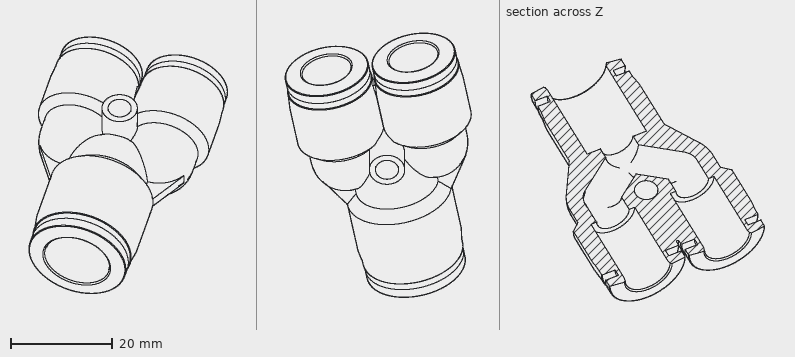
import cadquery as cq
import math

LENGTH = 50.8
OUTLET_OFFSET = 8.75
EDGE_CHAMFER = 0.15
LEAD_IN_DEPTH = 0.95
PASSAGE_RADIUS = 3.55

INLET = {
    "face_radius": 6.95,
    "lead_in_radius": 6.65,
    "socket_radius": 6.5,
    "collar_radius": 9.95,
    "neck_radius": 7.3,
    "ring_radius": 10.1,
    "body_radius": 21.0 / 2,
    "base_radius": 8.35,
    "rim": 0.35,
    "collar_end": 2.4,
    "neck_end": 3.75,
    "ring_end": 5.2,
    "taper_end": 7.75,
    "body_end": 18.75,
    "shoulder_end": 21.0,
    "base_end": 22.95,
}
OUTLET = {
    "face_radius": 5.25,
    "lead_in_radius": 4.95,
    "socket_radius": 4.8,
    "collar_radius": 8.4,
    "neck_radius": 5.6,
    "ring_radius": 8.55,
    "body_radius": 17.55 / 2,
    "base_radius": 7.0,
    "rim": 0.35,
    "collar_end": 2.2,
    "neck_end": 3.55,
    "ring_end": 4.7,
    "taper_end": 7.4,
    "body_end": 15.9,
    "shoulder_end": 17.55,
    "base_end": 21.15,
}

INLET_CENTER_Y = INLET["base_end"]
OUTLET_CENTER_Y = LENGTH - OUTLET["base_end"]

WEB_THICKNESS = 2.2

PIN_Y = 32.0
PIN_RADIUS = 3.5
PIN_HOLE_RADIUS = 2.3
PIN_HEIGHT = 2 * INLET["body_radius"]


def revolve_about_y(points):
    return cq.Workplane("XY").polyline(points).close().revolve(360, (0, 0, 0), (0, 1, 0))


def sphere_at(x, y, radius):
    return cq.Workplane("XY").sphere(radius).translate((x, y, 0))


def port_body(port):
    """Solid port along +Y with its open end at Y = 0 and a domed inner end."""
    chamfer = EDGE_CHAMFER
    outline = [
        (0, 0),
        (port["face_radius"], 0),
        (port["collar_radius"] - chamfer, port["rim"]),
        (port["collar_radius"], port["rim"] + chamfer),
        (port["collar_radius"], port["collar_end"]),
        (port["neck_radius"], port["collar_end"]),
        (port["neck_radius"], port["neck_end"]),
        (port["ring_radius"] - chamfer, port["neck_end"]),
        (port["ring_radius"], port["neck_end"] + chamfer),
        (port["ring_radius"], port["ring_end"]),
        (port["body_radius"], port["taper_end"]),
        (port["body_radius"], port["body_end"]),
        (port["base_radius"], port["shoulder_end"]),
        (port["base_radius"], port["base_end"]),
        (0, port["base_end"]),
    ]
    return revolve_about_y(outline).union(sphere_at(0, port["base_end"], port["base_radius"]))


def port_cavity(port):
    """Tube socket with a chamfered, tapered mouth, and the passage to the dome center."""
    mouth_chamfer = port["face_radius"] - port["lead_in_radius"]
    outline = [
        (0, 0),
        (port["face_radius"], 0),
        (port["lead_in_radius"], mouth_chamfer),
        (port["socket_radius"], LEAD_IN_DEPTH),
        (port["socket_radius"], port["body_end"]),
        (PASSAGE_RADIUS, port["body_end"]),
        (PASSAGE_RADIUS, port["base_end"]),
        (0, port["base_end"]),
    ]
    return revolve_about_y(outline)


def place_outlet(shape, side):
    """Turn a port to face +Y and move it to the outlet axis on the given side."""
    return shape.rotate((0, 0, 0), (0, 0, 1), 180).translate((side * OUTLET_OFFSET, LENGTH, 0))


def branch_passage(side):
    """Slanted passage from the inlet dome center to an outlet dome center."""
    start = cq.Vector(0, INLET_CENTER_Y, 0)
    end = cq.Vector(side * OUTLET_OFFSET, OUTLET_CENTER_Y, 0)
    run = end - start
    return cq.Workplane(cq.Solid.makeCylinder(PASSAGE_RADIUS, run.Length, start, run))


def side_web():
    """Web whose slanted edges run from the inlet body tangent to the outlet domes."""
    corner_x = INLET["body_radius"]
    corner_y = INLET["body_end"]
    run_x = corner_x - OUTLET_OFFSET
    run_y = corner_y - OUTLET_CENTER_Y
    distance = math.hypot(run_x, run_y)
    dome_radius = OUTLET["base_radius"]
    tangent_angle = math.atan2(run_y, run_x) + math.acos(dome_radius / distance)
    tangent_x = OUTLET_OFFSET + dome_radius * math.cos(tangent_angle)
    tangent_y = OUTLET_CENTER_Y + dome_radius * math.sin(tangent_angle)
    outline = [
        (-corner_x, corner_y),
        (corner_x, corner_y),
        (tangent_x, tangent_y),
        (OUTLET_OFFSET, OUTLET_CENTER_Y),
        (-OUTLET_OFFSET, OUTLET_CENTER_Y),
        (-tangent_x, tangent_y),
    ]
    web = cq.Workplane("XY").polyline(outline).close()
    return web.extrude(WEB_THICKNESS / 2, both=True)


def middle_web():
    """Web closing the gap between the outlets, from the pin boss to their ring ends."""
    web_end = LENGTH - OUTLET["ring_end"]
    length = web_end - PIN_Y
    web = cq.Workplane("XY").box(2 * OUTLET_OFFSET, length, WEB_THICKNESS)
    return web.translate((0, PIN_Y + length / 2, 0))


def pin_cylinder(radius):
    return cq.Workplane("XY").circle(radius).extrude(PIN_HEIGHT / 2, both=True)


result = port_body(INLET).union(side_web()).union(middle_web())
for side in (-1, 1):
    result = result.union(place_outlet(port_body(OUTLET), side))
result = result.union(pin_cylinder(PIN_RADIUS).translate((0, PIN_Y, 0)))

result = result.cut(port_cavity(INLET))
for side in (-1, 1):
    result = result.cut(place_outlet(port_cavity(OUTLET), side))
    result = result.cut(branch_passage(side))
    result = result.cut(sphere_at(side * OUTLET_OFFSET, OUTLET_CENTER_Y, PASSAGE_RADIUS))

result = result.cut(pin_cylinder(PIN_HOLE_RADIUS).translate((0, PIN_Y, 0)))